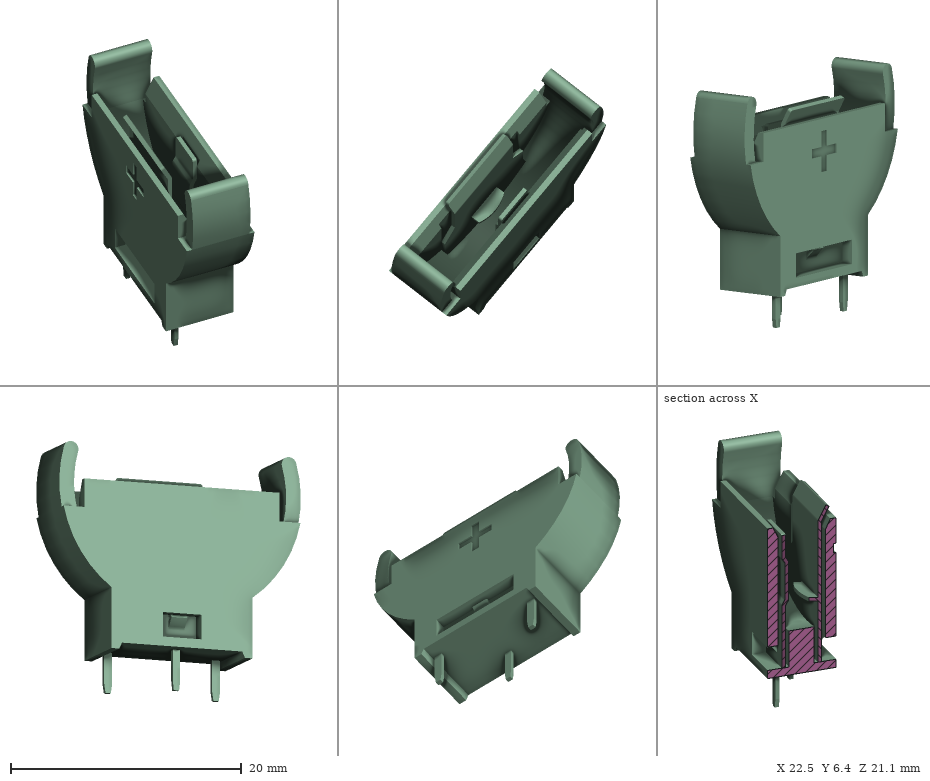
import cadquery as cq
import math


OUTER_RADIUS = 11.25
ARM_THICKNESS = 1.37
CAVITY_RADIUS = OUTER_RADIUS - ARM_THICKNESS
HALF_DEPTH = 6.4 / 2
CAVITY_HALF_DEPTH = 1.89
STEP_Z = -2.23
WALL_TOP_Z = 0.3
WALL_HALF_WIDTH = 9.08
ARM_HALF_DEPTH = 2.72
ARM_TIP_ANGLE = 16.0
BASE_HALF_WIDTH = 6.56
FOOT_Z = -14.48
UNDERSIDE_Z = -13.94
FOOT_INNER_TOP = 5.6
FOOT_INNER_BOTTOM = 5.85
RIM_WIDTH = 0.55
LEAD_IN_HEIGHT = 1.57

PLUS_Z = -2.59
PLUS_SIZE = 3.62
PLUS_BAR = 0.83
PLUS_DEPTH = 0.2

SEAT_INNER_Y = 1.2
SEAT_OUTER_Y = 2.18
POCKET_TOP_Z = -10.97
POCKET_HEIGHT = 2.15
POCKET_FLOOR_Z = POCKET_TOP_Z - POCKET_HEIGHT
POCKET_WIDTH = 8.39

SHEET = 0.38
PLATE_Y = 1.69
PLATE_BOTTOM_Z = POCKET_FLOOR_Z
PIN_TIP_Z = -17.51
PIN_TAPER = 0.8
PIN_TIP_WIDTH = 0.5
CORNER_ROUND = 0.22

FRONT_HALF_WIDTH = 5.4
FRONT_PIN_WIDTH = 0.75
FRONT_PIN_X = FRONT_HALF_WIDTH - FRONT_PIN_WIDTH / 2
LIP_HALF_WIDTH = 4.02
LIP_BEND_Z = 0.22
LIP_LENGTH = 1.53
LIP_LEAN = 28.5
SHOULDER_TOP_Z = -4.05
SHOULDER_BOTTOM_Z = -5.62
BEND_ROUND = 0.38

TONGUE_HALF_WIDTH = 1.73
TONGUE_SIDE_Y = -0.65
TONGUE_TIP_Y = -0.25
TONGUE_ROOT_Z = -7.2
TONGUE_RISE = 8.0

REAR_HALF_WIDTH = 1.8
REAR_TOP_Z = -0.5
REAR_PIN_WIDTH = 0.67
BOW_OFFSET = 0.3
BOW_BEND_Z = (-2.7, -3.2, -6.75, -7.24)

LATCH_HALF_WIDTH = 0.75
LATCH_ROOT_Z = -11.98
LATCH_TOP_Z = POCKET_TOP_Z
LATCH_LEAN = 42.0


def box(x_range, y_range, z_range):
    """Box between the given limits."""
    size = [high - low for low, high in (x_range, y_range, z_range)]
    corner = (x_range[0], y_range[0], z_range[0])
    return cq.Workplane("XY").box(*size, centered=False).translate(corner)


def centred_prism(sketch_plane_wires, half_length):
    """Extrude a closed outline both ways from its sketch plane."""
    return sketch_plane_wires.extrude(half_length, both=True)


def seam_up_disc(radius, half_length):
    """Disc along Y whose cylinder seam is at the top, clear of the finished faces."""
    disc = centred_prism(cq.Workplane("XZ").circle(radius), half_length)
    return disc.rotate((0, 0, 0), (0, 1, 0), -90)


def housing_blank():
    disc = seam_up_disc(OUTER_RADIUS, HALF_DEPTH)
    below_step = box((-OUTER_RADIUS, OUTER_RADIUS), (-HALF_DEPTH, HALF_DEPTH), (-OUTER_RADIUS, STEP_Z))
    walls = box((-WALL_HALF_WIDTH, WALL_HALF_WIDTH), (-HALF_DEPTH, HALF_DEPTH), (STEP_Z, WALL_TOP_Z))
    base_outline = cq.Workplane("XZ").polyline([
        (-BASE_HALF_WIDTH, STEP_Z),
        (-BASE_HALF_WIDTH, FOOT_Z),
        (-FOOT_INNER_BOTTOM, FOOT_Z),
        (-FOOT_INNER_TOP, UNDERSIDE_Z),
        (FOOT_INNER_TOP, UNDERSIDE_Z),
        (FOOT_INNER_BOTTOM, FOOT_Z),
        (BASE_HALF_WIDTH, FOOT_Z),
        (BASE_HALF_WIDTH, STEP_Z),
    ]).close()
    return disc.intersect(below_step).union(walls).union(centred_prism(base_outline, HALF_DEPTH))


def arms():
    """Two curved spring arms with rounded tips that continue the cavity wall."""
    mid_radius = (OUTER_RADIUS + CAVITY_RADIUS) / 2
    tip = math.radians(ARM_TIP_ANGLE)

    def polar(radius, angle):
        return (radius * math.cos(angle), radius * math.sin(angle))

    def root(radius):
        return (math.sqrt(radius**2 - STEP_Z**2), STEP_Z)

    tip_centre = polar(mid_radius, tip)
    cap_top = (
        tip_centre[0] - ARM_THICKNESS / 2 * math.sin(tip),
        tip_centre[1] + ARM_THICKNESS / 2 * math.cos(tip),
    )
    outline = (
        cq.Workplane("XZ")
        .moveTo(*root(OUTER_RADIUS))
        .threePointArc(polar(OUTER_RADIUS, 0), polar(OUTER_RADIUS, tip))
        .threePointArc(cap_top, polar(CAVITY_RADIUS, tip))
        .threePointArc(polar(CAVITY_RADIUS, 0), root(CAVITY_RADIUS))
        .close()
    )
    arm = centred_prism(outline, ARM_HALF_DEPTH)
    return arm.union(arm.mirror("YZ"))


def cell_cavity():
    """Round-bottomed slot for the cell, widened by a lead-in chamfer along both walls."""
    bore = seam_up_disc(CAVITY_RADIUS, CAVITY_HALF_DEPTH)
    mouth_y = HALF_DEPTH - RIM_WIDTH
    lead_in = cq.Workplane("YZ").polyline([
        (-CAVITY_HALF_DEPTH, WALL_TOP_Z - LEAD_IN_HEIGHT),
        (CAVITY_HALF_DEPTH, WALL_TOP_Z - LEAD_IN_HEIGHT),
        (mouth_y, WALL_TOP_Z),
        (-mouth_y, WALL_TOP_Z),
    ]).close()
    return bore.union(centred_prism(lead_in, WALL_HALF_WIDTH))


def contact_seat(half_width, pocket_half_width):
    """Open-topped seat in the front wall, and the outer pocket that meets it at the bottom."""
    seat = box(
        (-half_width, half_width),
        (-SEAT_OUTER_Y, -SEAT_INNER_Y),
        (POCKET_FLOOR_Z, WALL_TOP_Z),
    )
    pocket = box(
        (-pocket_half_width, pocket_half_width),
        (-HALF_DEPTH, -SEAT_OUTER_Y),
        (POCKET_FLOOR_Z, POCKET_TOP_Z),
    )
    return seat.union(pocket)


def plus_mark():
    face = cq.Workplane("XZ", origin=(0, -HALF_DEPTH, PLUS_Z))
    level_bar = face.rect(PLUS_SIZE, PLUS_BAR).extrude(-PLUS_DEPTH)
    upright_bar = face.rect(PLUS_BAR, PLUS_SIZE).extrude(-PLUS_DEPTH)
    return level_bar.union(upright_bar)


def make_housing(contacts):
    housing = housing_blank()
    front_seat = contact_seat(FRONT_HALF_WIDTH, POCKET_WIDTH / 2)
    rear_seat = contact_seat(REAR_HALF_WIDTH, REAR_HALF_WIDTH).mirror("XZ")
    for recess in (cell_cavity(), front_seat, rear_seat, plus_mark(), *contacts):
        housing = housing.cut(recess)
    return housing.union(arms())


def round_bends(sheet, bends):
    """Round both faces of a bent sheet at the given (y, z) bends."""
    for y, z in bends:
        near_bend = cq.selectors.BoxSelector(
            (-SHEET, y - SHEET, z - SHEET),
            (SHEET, y + SHEET, z + SHEET),
        )
        sheet = sheet.edges("|X").edges(near_bend).fillet(BEND_ROUND)
    return sheet


def bent_sheet(path, half_width):
    """Sheet of constant thickness along a (y, z) centre line, with mitred bends."""
    directions = [math.atan2(z1 - z0, y1 - y0) for (y0, z0), (y1, z1) in zip(path, path[1:])]
    incoming = directions[:1] + directions
    outgoing = directions + directions[-1:]
    left = []
    right = []
    for (y, z), before, after in zip(path, incoming, outgoing):
        normal = (before + after + math.pi) / 2
        reach = SHEET / 2 / math.cos((after - before) / 2)
        dy = reach * math.cos(normal)
        dz = reach * math.sin(normal)
        left.append((y + dy, z + dz))
        right.append((y - dy, z - dz))
    outline = cq.Workplane("YZ").polyline(left + right[::-1]).close()
    return centred_prism(outline, half_width)


def pin(x, y, width):
    """Solder pin with a tapered tip."""
    outline = cq.Workplane("XZ", origin=(x, y, 0)).polyline([
        (-width / 2, PLATE_BOTTOM_Z),
        (-width / 2, PIN_TIP_Z + PIN_TAPER),
        (-PIN_TIP_WIDTH / 2, PIN_TIP_Z),
        (PIN_TIP_WIDTH / 2, PIN_TIP_Z),
        (width / 2, PIN_TIP_Z + PIN_TAPER),
        (width / 2, PLATE_BOTTOM_Z),
    ]).close()
    return centred_prism(outline, SHEET / 2)


def latch():
    """Barb on the front contact: rooted at its lower end, leaning out as it rises."""
    lean = math.radians(LATCH_LEAN)
    tip_z = LATCH_TOP_Z - SHEET / 2 * math.sin(lean)
    tip_y = -PLATE_Y - (tip_z - LATCH_ROOT_Z) * math.tan(lean)
    path = [(-PLATE_Y, PLATE_BOTTOM_Z), (-PLATE_Y, LATCH_ROOT_Z), (tip_y, tip_z)]
    return round_bends(bent_sheet(path, LATCH_HALF_WIDTH), path[1:-1])


def latch_window():
    """Opening that the latch leaves in its plate."""
    return box(
        (-LATCH_HALF_WIDTH, LATCH_HALF_WIDTH),
        (-PLATE_Y - SHEET / 2, -PLATE_Y + SHEET / 2),
        (LATCH_ROOT_Z, LATCH_TOP_Z),
    )


def tongue():
    """Spring tongue that reaches from the front contact towards the cell."""
    rise = math.tan(math.radians(TONGUE_RISE))
    reach = TONGUE_TIP_Y + PLATE_Y
    path = [(-PLATE_Y, TONGUE_ROOT_Z), (TONGUE_TIP_Y + SHEET, TONGUE_ROOT_Z + rise * (reach + SHEET))]
    plan = (
        cq.Workplane("XY", origin=(0, 0, PLATE_BOTTOM_Z))
        .moveTo(-TONGUE_HALF_WIDTH, -PLATE_Y)
        .lineTo(-TONGUE_HALF_WIDTH, TONGUE_SIDE_Y)
        .threePointArc((0, TONGUE_TIP_Y), (TONGUE_HALF_WIDTH, TONGUE_SIDE_Y))
        .lineTo(TONGUE_HALF_WIDTH, -PLATE_Y)
        .close()
        .extrude(-PLATE_BOTTOM_Z)
    )
    return bent_sheet(path, TONGUE_HALF_WIDTH).intersect(plan)


def make_front_contact():
    lean = math.radians(LIP_LEAN)
    tip_y = -PLATE_Y - LIP_LENGTH * math.sin(lean)
    tip_z = LIP_BEND_Z + LIP_LENGTH * math.cos(lean)
    top_z = tip_z + SHEET / 2 * math.sin(lean)
    path = [(-PLATE_Y, PLATE_BOTTOM_Z), (-PLATE_Y, LIP_BEND_Z), (tip_y, tip_z)]
    sheet = round_bends(bent_sheet(path, FRONT_HALF_WIDTH), path[1:-1])
    outline = cq.Workplane("XZ").polyline([
        (-FRONT_HALF_WIDTH, PLATE_BOTTOM_Z),
        (-FRONT_HALF_WIDTH, SHOULDER_BOTTOM_Z),
        (-LIP_HALF_WIDTH, SHOULDER_TOP_Z),
        (-LIP_HALF_WIDTH, top_z),
        (LIP_HALF_WIDTH, top_z),
        (LIP_HALF_WIDTH, SHOULDER_TOP_Z),
        (FRONT_HALF_WIDTH, SHOULDER_BOTTOM_Z),
        (FRONT_HALF_WIDTH, PLATE_BOTTOM_Z),
    ]).close()
    blank = sheet.intersect(centred_prism(outline, HALF_DEPTH))
    lip_direction = cq.Vector(0, -math.sin(lean), math.cos(lean))
    lip_normal = cq.Vector(0, math.cos(lean), math.sin(lean))
    lip_end = blank.faces(cq.selectors.DirectionMinMaxSelector(lip_direction))
    blank = lip_end.edges(cq.selectors.ParallelDirSelector(lip_normal)).fillet(CORNER_ROUND)
    contact = blank.cut(latch_window()).union(latch()).union(tongue())
    for x in (-FRONT_PIN_X, FRONT_PIN_X):
        contact = contact.union(pin(x, -PLATE_Y, FRONT_PIN_WIDTH))
    return contact


def make_rear_contact():
    bow_y = PLATE_Y - BOW_OFFSET
    upper_start, upper_end, lower_start, lower_end = BOW_BEND_Z
    path = [
        (PLATE_Y, PLATE_BOTTOM_Z),
        (PLATE_Y, lower_end),
        (bow_y, lower_start),
        (bow_y, upper_end),
        (PLATE_Y, upper_start),
        (PLATE_Y, REAR_TOP_Z),
    ]
    plate = round_bends(bent_sheet(path, REAR_HALF_WIDTH), path[1:-1])
    plate = plate.edges("|Y and >Z").fillet(CORNER_ROUND)
    plate = plate.cut(latch_window().mirror("XZ")).union(latch().mirror("XZ"))
    return plate.union(pin(0, PLATE_Y, REAR_PIN_WIDTH))


front_contact = make_front_contact()
rear_contact = make_rear_contact()
housing = make_housing([front_contact, rear_contact])

result = cq.Compound.makeCompound([housing.val(), front_contact.val(), rear_contact.val()])